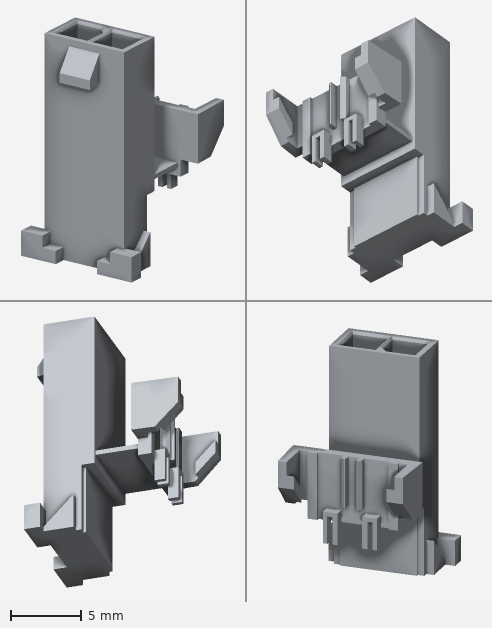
import cadquery as cq


overall_width = 9.85
overall_depth = 11.77

housing_width = 6.86
housing_depth = 3.84
housing_height = 16.89
relief_height = 5.17
relief_back_y = 2.86
pad_back_y = 3.04
pad_side_inset = 0.5

mouth_outer_x = 2.98
mouth_inner_x = 0.03
mouth_front_y = 0.44
mouth_back_y = 3.46
mouth_key = 0.74
bore_inset_x = 0.13
bore_inset_front = 0.19
bore_inset_back = 0.20
bore_key = 0.65
lead_in_depth = 0.18
cavity_floor_z = 6.2

latch_width = 2.6
latch_reach = 1.20
latch_top_z = 16.35
latch_nose_top_z = 14.68
latch_nose_bottom_z = 13.95
latch_root_z = 14.08

foot_outer_x = 4.76
foot_step_x = 2.92
foot_inner_x = 1.79
foot_front_y = -1.0
foot_back_y = 0.20
foot_height = 1.93
foot_step_height = 1.0
gusset_outer_x = 4.01
gusset_back_y = 2.45
gusset_height = 2.60

plate_front_y = 7.09
plate_back_y = 7.87
plate_bottom_z = 6.55
plate_top_z = 10.30
arm_root_x = overall_width / 2
arm_tip_x = 4.76
arm_inner_x = 4.11
arm_tip_y = overall_depth - latch_reach
arm_slope_y = 8.83
arm_slope_z = 8.30
apron_bottom_z = 5.25
strap_width = 6.38
strap_bottom_z = 5.92
strap_top_z = 6.27

barb_inner_x = 3.53
barb_front_y = 9.08
barb_height = 1.0

rail_inner_x = 2.72
rail_back_y = 8.10
pin_outer_x = 0.79
pin_inner_x = 0.43
pin_tip_x = 0.52
pin_shoulder_y = 8.29
pin_tip_y = 8.53
fork_outer_x = 2.06
fork_inner_x = 0.94
fork_slot_outer_x = 1.73
fork_slot_inner_x = 1.33
fork_back_y = 8.68
fork_bottom_z = 3.77
fork_top_z = 6.18
fork_bridge = 0.34


def box(x0, x1, y0, y1, z0, z1):
    """Box between two opposite corners."""
    return cq.Workplane("XY").box(x1 - x0, y1 - y0, z1 - z0, centered=False).translate((x0, y0, z0))


def centred_box(width, y0, y1, z0, z1):
    """Box of the given width, centred on X = 0."""
    return box(-width / 2, width / 2, y0, y1, z0, z1)


def side_prism(points_yz, x0, x1):
    """Prism of a YZ outline, reaching from x0 to x1."""
    return cq.Workplane("YZ").workplane(offset=x0).polyline(points_yz).close().extrude(x1 - x0)


def upright_prism(points_xy, z0, z1):
    """Prism of an XY outline, reaching from z0 to z1."""
    return cq.Workplane("XY").workplane(offset=z0).polyline(points_xy).close().extrude(z1 - z0)


def mirrored_pair(shape):
    """The shape together with its mirror image across X = 0."""
    return shape.union(shape.mirror("YZ"))


def cavity_outline(x_outer, x_inner, y_front, y_back, key):
    """Left cavity outline; a non-zero key cuts off the inner back corner."""
    back_inner = [(x_inner, y_back - key), (x_inner - key, y_back)] if key else [(x_inner, y_back)]
    return [(x_outer, y_front), (x_inner, y_front)] + back_inner + [(x_outer, y_back)]


def left_cavity(keyed):
    """Blind cavity on the -X side with a tapered lead-in at its mouth."""
    mouth = cavity_outline(
        -mouth_outer_x, -mouth_inner_x, mouth_front_y, mouth_back_y, mouth_key if keyed else 0
    )
    bore = cavity_outline(
        -mouth_outer_x + bore_inset_x,
        -mouth_inner_x - bore_inset_x,
        mouth_front_y + bore_inset_front,
        mouth_back_y - bore_inset_back,
        bore_key if keyed else 0,
    )
    bore_top_z = housing_height - lead_in_depth
    lead_in = (
        cq.Workplane("XY").workplane(offset=bore_top_z).polyline(bore).close()
        .workplane(offset=lead_in_depth).polyline(mouth).close()
        .loft(ruled=True)
    )
    return upright_prism(bore, cavity_floor_z, bore_top_z).union(lead_in)


def housing():
    upper = centred_box(housing_width, 0, housing_depth, relief_height, housing_height)
    lower = centred_box(housing_width, 0, relief_back_y, 0, relief_height)
    pad_width = housing_width - 2 * pad_side_inset
    pad = centred_box(pad_width, 0, pad_back_y, 0, relief_height)
    body = upper.union(lower).union(pad)
    return body.cut(left_cavity(keyed=True)).cut(left_cavity(keyed=False).mirror("YZ"))


def latch():
    outline = [
        (0, latch_top_z),
        (-latch_reach, latch_nose_top_z),
        (-latch_reach, latch_nose_bottom_z),
        (0, latch_root_z),
    ]
    return side_prism(outline, -latch_width / 2, latch_width / 2)


def feet():
    tall = box(foot_step_x, foot_outer_x, foot_front_y, foot_back_y, 0, foot_height)
    low = box(foot_inner_x, foot_step_x, foot_front_y, foot_back_y, 0, foot_step_height)
    gusset_toe_z = gusset_height - (gusset_back_y - foot_back_y)
    gusset_outline = [
        (foot_back_y, 0),
        (gusset_back_y, 0),
        (gusset_back_y, gusset_height),
        (foot_back_y, gusset_toe_z),
    ]
    gusset = side_prism(gusset_outline, housing_width / 2, gusset_outer_x)
    return mirrored_pair(tall.union(low).union(gusset))


def arm():
    """Arm on the +X side: drafted outside, lower rear corner cut off."""
    plan = [
        (arm_inner_x, plate_front_y),
        (arm_root_x, plate_front_y),
        (arm_tip_x, arm_tip_y),
        (arm_inner_x, arm_tip_y),
    ]
    profile = [
        (plate_front_y, plate_bottom_z),
        (arm_slope_y, plate_bottom_z),
        (arm_tip_y, arm_slope_z),
        (arm_tip_y, plate_top_z),
        (plate_front_y, plate_top_z),
    ]
    blank = upright_prism(plan, plate_bottom_z, plate_top_z)
    return blank.intersect(side_prism(profile, arm_inner_x, arm_root_x))


def barb():
    """Inward lug at the tip of the +X arm, a slab lying along the arm's cut-off corner."""
    cut_slope = (arm_slope_z - plate_bottom_z) / (arm_tip_y - arm_slope_y)
    front_bottom_z = arm_slope_z - cut_slope * (arm_tip_y - barb_front_y)
    outline = [
        (barb_front_y, front_bottom_z),
        (arm_tip_y, arm_slope_z),
        (arm_tip_y, arm_slope_z + barb_height),
        (barb_front_y, front_bottom_z + barb_height),
    ]
    return side_prism(outline, barb_inner_x, arm_inner_x)


def clip_frame():
    plate = centred_box(2 * arm_inner_x, plate_front_y, plate_back_y, plate_bottom_z, plate_top_z)
    apron = centred_box(housing_width, plate_front_y, plate_back_y, apron_bottom_z, plate_bottom_z)
    strap = centred_box(strap_width, housing_depth, plate_front_y, strap_bottom_z, strap_top_z)
    return plate.union(apron).union(strap).union(mirrored_pair(arm().union(barb())))


def rails():
    """Shallow upright rails on the rear of the plate and apron."""
    rail = box(rail_inner_x, housing_width / 2, plate_back_y, rail_back_y, apron_bottom_z, plate_top_z)
    return mirrored_pair(rail)


def pins():
    """Thin upright fins with a bevelled outer rear corner."""
    outline = [
        (pin_inner_x, plate_back_y),
        (pin_outer_x, plate_back_y),
        (pin_outer_x, pin_shoulder_y),
        (pin_tip_x, pin_tip_y),
        (pin_inner_x, pin_tip_y),
    ]
    return mirrored_pair(upright_prism(outline, plate_bottom_z, plate_top_z))


def forks():
    """Two-pronged tabs hanging behind the apron."""
    block = box(fork_inner_x, fork_outer_x, plate_back_y, fork_back_y, fork_bottom_z, fork_top_z)
    slot_top_z = fork_top_z - fork_bridge
    slot = box(
        fork_slot_inner_x, fork_slot_outer_x, plate_back_y, fork_back_y, fork_bottom_z, slot_top_z
    )
    return mirrored_pair(block.cut(slot))


result = housing()
for feature in (latch(), feet(), clip_frame(), rails(), pins(), forks()):
    result = result.union(feature)